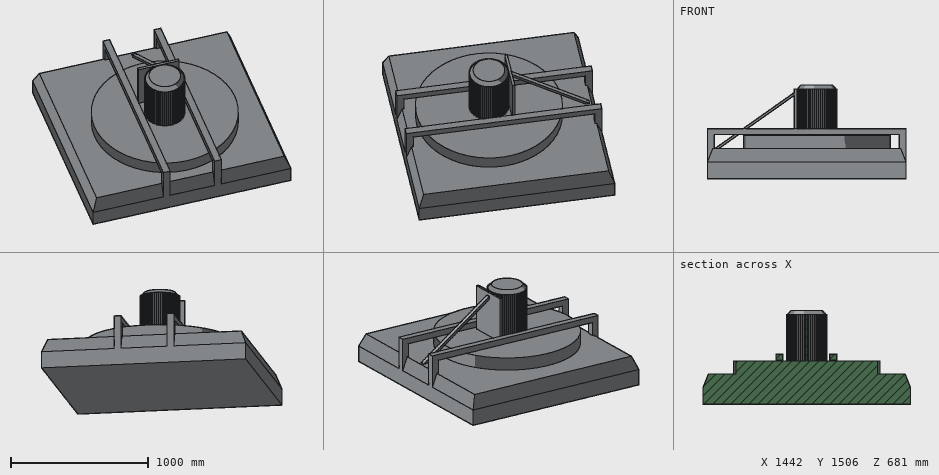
import cadquery as cq
import math

base_length = 1442.0
base_width = 1506.0
slab_height = 120.0
base_height = 220.0
taper_inset = 39.0

disc_radius = 533.0
disc_top = 315.0
disc_x = 72.0

rail_top = 365.0
rail_depth = 45.0
rail_width = 51.0
leg_thickness = 51.0
rail_spacing = 390.0
rail_pair_y = 3.0

total_height = 681.0
chamfer_height = 30.0
fin_top = 652.0
fin_radius = 146.0
core_radius = 142.0
groove_width = 11.3
core_top_radius = 115.0
fin_count = 60

plate_width = 310.0
plate_thickness = 20.0
plate_overlap = 2.0
plate_front_x = disc_x - fin_radius - plate_thickness + plate_overlap

brace_width = 33.0
brace_thickness = 18.0
brace_foot_x = 54.0 - base_length / 2
brace_foot_z = base_height
brace_head_z = 625.0


def make_base():
    slab = cq.Workplane("XY").box(base_length, base_width, slab_height, centered=(True, True, False))
    taper = (
        cq.Workplane("XY", origin=(0, 0, slab_height))
        .rect(base_length, base_width)
        .workplane(offset=base_height - slab_height)
        .rect(base_length - 2 * taper_inset, base_width - 2 * taper_inset)
        .loft(ruled=True)
    )
    return slab.union(taper)


def make_disc():
    return (
        cq.Workplane("XY", origin=(disc_x, 0, base_height))
        .circle(disc_radius)
        .extrude(disc_top - base_height)
    )


def make_rail(center_y):
    leg_height = rail_top - slab_height
    bridge = cq.Workplane("XY", origin=(0, center_y, slab_height)).box(
        base_length, rail_width, leg_height, centered=(True, True, False)
    )
    opening = cq.Workplane("XY", origin=(0, center_y, slab_height)).box(
        base_length - 2 * leg_thickness, rail_width, leg_height - rail_depth, centered=(True, True, False)
    )
    return bridge.cut(opening)


def around_motor(radius, angle):
    return (disc_x + radius * math.cos(angle), radius * math.sin(angle))


def make_fins():
    pitch = 2 * math.pi / fin_count
    half_groove = groove_width / fin_radius / 2
    half_fin = pitch / 2 - half_groove
    outline = cq.Workplane("XY", origin=(0, 0, disc_top)).moveTo(*around_motor(core_radius, -half_fin))
    for index in range(fin_count):
        fin_middle = index * pitch
        groove_middle = fin_middle + pitch / 2
        outline = (
            outline.lineTo(*around_motor(fin_radius, fin_middle - half_fin))
            .threePointArc(
                around_motor(fin_radius, fin_middle),
                around_motor(fin_radius, fin_middle + half_fin),
            )
            .lineTo(*around_motor(core_radius, fin_middle + half_fin))
            .threePointArc(
                around_motor(core_radius, groove_middle),
                around_motor(core_radius, groove_middle + half_groove),
            )
        )
    return outline.close().extrude(fin_top - disc_top)


def make_core():
    return (
        cq.Workplane("XY", origin=(disc_x, 0, disc_top))
        .circle(core_radius)
        .extrude(total_height - disc_top)
        .faces(">Z")
        .chamfer(chamfer_height, core_radius - core_top_radius)
    )


def make_plate():
    return cq.Workplane("XY", origin=(plate_front_x, 0, disc_top)).box(
        plate_thickness, plate_width, fin_top - disc_top, centered=(False, True, False)
    )


def make_brace():
    run = plate_front_x - brace_foot_x
    rise = brace_head_z - brace_foot_z
    slope = math.atan2(rise, run)
    drop_x = brace_thickness * math.sin(slope)
    drop_z = -brace_thickness * math.cos(slope)
    outline = [
        (brace_foot_x, brace_foot_z),
        (plate_front_x, brace_head_z),
        (plate_front_x + drop_x, brace_head_z + drop_z),
        (brace_foot_x + drop_x, brace_foot_z + drop_z),
    ]
    return cq.Workplane("XZ").polyline(outline).close().extrude(brace_width / 2, both=True)


result = make_base().union(make_disc())
for side in (-1, 1):
    result = result.union(make_rail(rail_pair_y + side * rail_spacing / 2))
result = result.union(make_fins()).union(make_core()).union(make_plate()).union(make_brace())